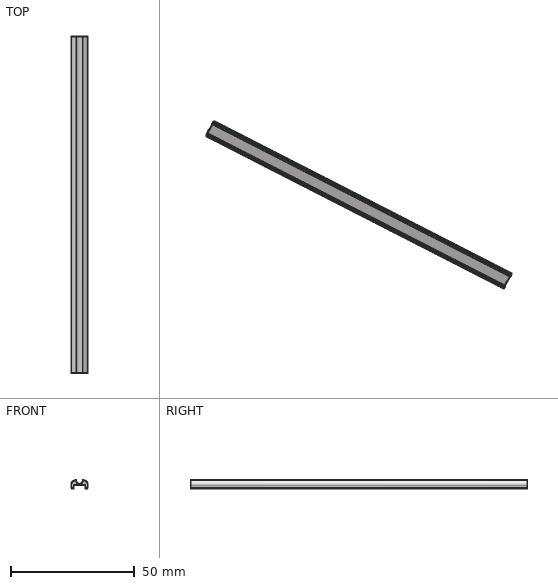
import cadquery as cq
import math

length = 136.0
width = 6.8
height = 3.5
shoulder_radius = 2.0
groove_depth = 1.5
web_thickness = 0.5
leg_thickness = 1.1
foot_step_height = 0.4
foot_step_depth = 0.34

half_width = width / 2
shoulder_x = half_width - shoulder_radius
groove_half_width = shoulder_x
shoulder_z = height - shoulder_radius
shoulder_mid = shoulder_radius * math.sqrt(0.5)
channel_half_width = half_width - leg_thickness
groove_bottom = height - groove_depth
channel_top = groove_bottom - web_thickness
foot_x = half_width - foot_step_depth


def rail_profile():
    """Rounded shoulders around a top groove, with two legs around a lower channel."""
    return (
        cq.Workplane("XZ", origin=(0, length / 2, 0))
        .moveTo(-groove_half_width, height)
        .threePointArc((0, groove_bottom), (groove_half_width, height))
        .threePointArc(
            (shoulder_x + shoulder_mid, shoulder_z + shoulder_mid),
            (half_width, shoulder_z),
        )
        .lineTo(half_width, foot_step_height)
        .lineTo(foot_x, foot_step_height)
        .lineTo(foot_x, 0)
        .lineTo(channel_half_width, 0)
        .lineTo(channel_half_width, channel_top)
        .lineTo(-channel_half_width, channel_top)
        .lineTo(-channel_half_width, 0)
        .lineTo(-foot_x, 0)
        .lineTo(-foot_x, foot_step_height)
        .lineTo(-half_width, foot_step_height)
        .lineTo(-half_width, shoulder_z)
        .threePointArc(
            (-shoulder_x - shoulder_mid, shoulder_z + shoulder_mid),
            (-shoulder_x, height),
        )
        .close()
    )


result = rail_profile().extrude(length)